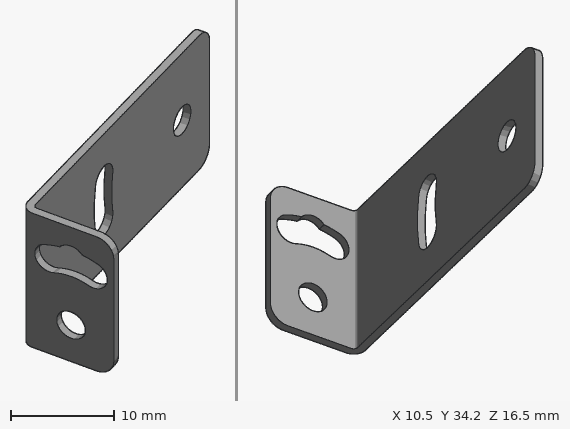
import cadquery as cq
import math

length = 34.2
width = 10.5
height = 16.5
thickness = 0.9
inner_bend_radius = thickness / 2
outer_bend_radius = inner_bend_radius + thickness
corner_radius = 2.0

long_hole_radius = 1.65
long_pivot_y = length - 5.2
long_pivot_z = height / 2
long_slot_radius = 14.95
long_slot_half_angle = 10.0

short_hole_radius = 1.6
short_pivot_x = 5.68
short_pivot_z = 4.48
short_slot_radius = 7.6
short_slot_half_angle = 19.0
notch_height = 8.1


def bent_sheet():
    """L-shaped sheet with a rounded bend and rounded free corners."""
    sheet = (
        cq.Workplane("XY")
        .polyline([
            (0, 0), (width, 0), (width, thickness),
            (thickness, thickness), (thickness, length), (0, length),
        ])
        .close()
        .extrude(height)
    )
    sheet = sheet.edges(cq.NearestToPointSelector((0, 0, height / 2))).fillet(outer_bend_radius)
    inner_corner = (thickness, thickness, height / 2)
    sheet = sheet.edges(cq.NearestToPointSelector(inner_corner)).fillet(inner_bend_radius)
    sheet = sheet.faces(">X").edges("|Y").fillet(corner_radius)
    return sheet.faces(">Y").edges("|X").fillet(corner_radius)


def arc_slot(plane, pivot, path_radius, direction, half_angle, half_width):
    """Slot cutter following an arc around the pivot; angles in degrees."""
    def point(radius, offset):
        angle = math.radians(direction + offset)
        return (pivot[0] + radius * math.cos(angle), pivot[1] + radius * math.sin(angle))

    inner = path_radius - half_width
    outer = path_radius + half_width
    band = (
        cq.Workplane(plane)
        .moveTo(*point(inner, -half_angle))
        .threePointArc(point(inner, 0), point(inner, half_angle))
        .lineTo(*point(outer, half_angle))
        .threePointArc(point(outer, 0), point(outer, -half_angle))
        .close()
        .extrude(thickness)
    )
    for end_angle in (-half_angle, half_angle):
        band = band.union(round_hole(plane, point(path_radius, end_angle), half_width))
    return band


def round_hole(plane, center, radius):
    """Round cutter through one sheet thickness."""
    return cq.Workplane(plane).center(*center).circle(radius).extrude(thickness)


long_plane = cq.Plane(origin=(0, 0, 0), xDir=(0, 1, 0), normal=(1, 0, 0))
short_plane = cq.Plane(origin=(0, thickness, 0), xDir=(1, 0, 0), normal=(0, -1, 0))

long_pivot = (long_pivot_y, long_pivot_z)
short_pivot = (short_pivot_x, short_pivot_z)
notch_center = (short_pivot_x, short_pivot_z + notch_height)

toward_bend = 180
upward = 90

cutters = [
    round_hole(long_plane, long_pivot, long_hole_radius),
    arc_slot(long_plane, long_pivot, long_slot_radius, toward_bend,
             long_slot_half_angle, long_hole_radius),
    round_hole(short_plane, short_pivot, short_hole_radius),
    arc_slot(short_plane, short_pivot, short_slot_radius, upward,
             short_slot_half_angle, short_hole_radius),
    round_hole(short_plane, notch_center, short_hole_radius),
]

result = bent_sheet()
for cutter in cutters:
    result = result.cut(cutter)